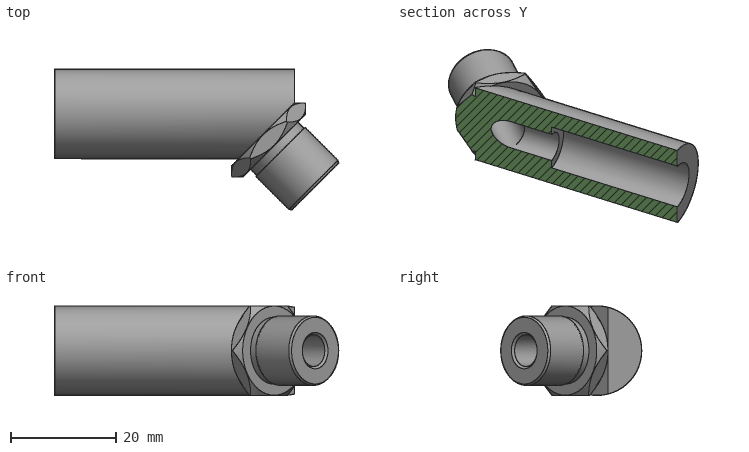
import cadquery as cq
import math

overall_length = 53.85

tube_diameter = 17.0
tube_length = 45.5
socket_diameter = 9.5
socket_depth = 26.95

branch_angle = 45.0
seat_distance = 5.5

hex_across_flats = tube_diameter
hex_thickness = 3.0
hex_face_diameter = 16.9

neck_diameter = 12.7
neck_length = 1.65
spigot_diameter = 13.2
spigot_length = 9.3
spigot_chamfer_length = 0.5
spigot_chamfer_height = 0.25
tip_diameter = spigot_diameter - 2 * spigot_chamfer_height

bore_diameter = 6.05
mouth_chamfer = 0.45

hex_front = seat_distance + hex_thickness
neck_end = hex_front + neck_length
branch_end = neck_end + spigot_length

angle = math.radians(branch_angle)
branch_direction = (math.cos(angle), -math.sin(angle), 0)
branch_side = (math.sin(angle), math.cos(angle), 0)

branch_reach = branch_end * math.cos(angle) + tip_diameter / 2 * math.sin(angle)
joint_x = overall_length - branch_reach


def branch_plane(distance):
    """Plane square to the branch axis, with its local X in the XY plane."""
    origin = (joint_x + distance * branch_direction[0], distance * branch_direction[1], 0)
    return cq.Plane(origin=origin, xDir=branch_side, normal=branch_direction)


def branch_cylinder(start, diameter, length):
    """Round bar on the branch axis, growing outward from a distance along it."""
    return cq.Workplane(branch_plane(start)).circle(diameter / 2).extrude(length)


def branch_cone(start, start_diameter, end_diameter, length):
    """Truncated cone on the branch axis, growing outward from a distance along it."""
    base = cq.Workplane(branch_plane(start)).circle(start_diameter / 2)
    return base.workplane(offset=length).circle(end_diameter / 2).loft(ruled=True)


def make_tube():
    """Round bar trimmed flush with the rear face of the hexagon."""
    bar = cq.Workplane("YZ").circle(tube_diameter / 2).extrude(tube_length)
    trim_size = 2 * tube_length
    trim = cq.Workplane(branch_plane(seat_distance)).rect(trim_size, trim_size).extrude(trim_size)
    return bar.cut(trim)


def make_hexagon():
    """Hexagon with its corners chamfered at 45 degrees on both faces."""
    across_corners = hex_across_flats / math.cos(math.pi / 6)
    prism = cq.Workplane(branch_plane(seat_distance)).polygon(6, across_corners).extrude(hex_thickness)
    corner_chamfer = (across_corners - hex_face_diameter) / 2
    disc = branch_cylinder(seat_distance, across_corners, hex_thickness)
    envelope = disc.edges("%CIRCLE").chamfer(corner_chamfer)
    return prism.intersect(envelope)


def make_spigot():
    """Necked spigot with a chamfered end."""
    neck = branch_cylinder(hex_front, neck_diameter, neck_length)
    straight_length = spigot_length - spigot_chamfer_length
    body = branch_cylinder(neck_end, spigot_diameter, straight_length)
    tip = branch_cone(neck_end + straight_length, spigot_diameter, tip_diameter, spigot_chamfer_length)
    return neck.union(body).union(tip)


def make_passage():
    """Socket and mitred bore, opening through a chamfered mouth."""
    socket = cq.Workplane("YZ").circle(socket_diameter / 2).extrude(socket_depth)
    branch_tip = branch_plane(branch_end).origin
    path = cq.Workplane("XY").polyline([(0, 0), (joint_x, 0), (branch_tip.x, branch_tip.y)])
    bore = cq.Workplane("YZ").circle(bore_diameter / 2).sweep(path, transition="right")
    mouth_diameter = bore_diameter + 2 * mouth_chamfer
    mouth = branch_cone(branch_end - mouth_chamfer, bore_diameter, mouth_diameter, mouth_chamfer)
    return socket.union(bore).union(mouth)


result = make_tube().union(make_hexagon()).union(make_spigot()).cut(make_passage())